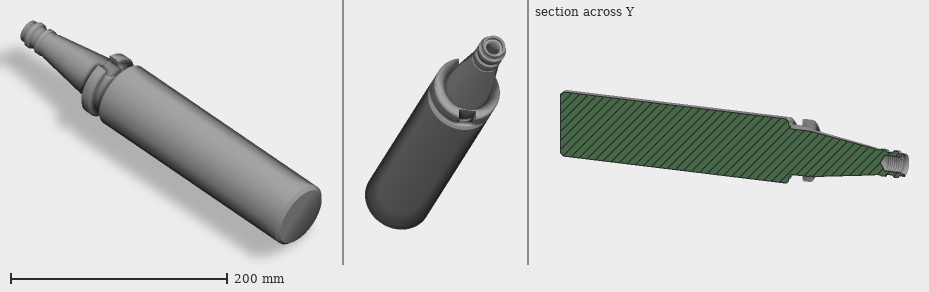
import cadquery as cq
import math

length = 343.5
body_diameter = 63.0
body_radius = body_diameter / 2

collar_start = 6.5
collar_end = 11.7
pilot_start = 18.5
pilot_groove_start = 24.5
pilot_groove_end = 30.0
taper_start = 30.2
taper_end = 94.0
flange_start = 94.8
flange_end = 105.5
body_start = 116.0

tip_radius = 11.0
collar_radius = 13.0
pilot_groove_radius = 12.5
relief_radius = 21.3
neck_radius = 25.0
taper_ratio = 7 / 24

tip_chamfer_length = 1.5
tip_chamfer_depth = 0.5
collar_chamfer = 0.7
collar_root = 0.7
pilot_chamfer = 1.0
flange_chamfer = 1.5
body_front_chamfer = 2.5
body_rear_chamfer = 3.0
neck_fillet = 1.0

ring_groove_start = 3.5
ring_groove_end = 4.5
ring_groove_depth = 0.5

mouth_radius = 10.0
counterbore_radius = 8.5
counterbore_depth = 4.0
thread_root_radius = 8.0
thread_crest_radius = 7.0
thread_pitch = 2.0
thread_turns = 8
drill_point_angle = 118.0

slot_width = 16.0
slot_floor = 22.3
slot_end = 114.0
cut_clearance = 3.5


def shank_profile():
    """Half section of the turned part, radius along Y, closed on the X axis."""
    taper_growth = (taper_end - taper_start) * taper_ratio / 2
    ring_groove_radius = tip_radius - ring_groove_depth
    fillet_sag = neck_fillet * (1 - math.sqrt(0.5))
    shank_points = [
        (0, 0),
        (0, tip_radius - tip_chamfer_depth),
        (tip_chamfer_length, tip_radius),
        (ring_groove_start, tip_radius),
        (ring_groove_start, ring_groove_radius),
        (ring_groove_end, ring_groove_radius),
        (ring_groove_end, tip_radius),
        (collar_start - collar_root, tip_radius),
        (collar_start, tip_radius + collar_root),
        (collar_start, collar_radius - collar_chamfer),
        (collar_start + collar_chamfer, collar_radius),
        (collar_end - collar_chamfer, collar_radius),
        (collar_end, collar_radius - collar_chamfer),
        (collar_end, tip_radius + collar_root),
        (collar_end + collar_root, tip_radius),
        (pilot_start, tip_radius),
        (pilot_start, collar_radius - pilot_chamfer),
        (pilot_start + pilot_chamfer, collar_radius),
        (pilot_groove_start, collar_radius),
        (pilot_groove_start, pilot_groove_radius),
        (pilot_groove_end, pilot_groove_radius),
        (taper_start, collar_radius),
        (taper_end, collar_radius + taper_growth),
        (taper_end, relief_radius),
        (flange_start, relief_radius),
        (flange_start, body_radius - flange_chamfer),
        (flange_start + flange_chamfer, body_radius),
        (flange_end - flange_chamfer, body_radius),
        (flange_end, body_radius - flange_chamfer),
        (flange_end, neck_radius + neck_fillet),
    ]
    body_points = [
        (body_start, body_radius - body_front_chamfer),
        (body_start + body_front_chamfer, body_radius),
        (length - body_rear_chamfer, body_radius),
        (length, body_radius - body_rear_chamfer),
        (length, 0),
    ]
    profile = cq.Workplane("XY").polyline(shank_points)
    profile = profile.threePointArc(
        (flange_end + fillet_sag, neck_radius + fillet_sag),
        (flange_end + neck_fillet, neck_radius),
    )
    profile = profile.lineTo(body_start - neck_fillet, neck_radius)
    profile = profile.threePointArc(
        (body_start - fillet_sag, neck_radius + fillet_sag),
        (body_start, neck_radius + neck_fillet),
    )
    for point in body_points:
        profile = profile.lineTo(*point)
    return profile.close()


def socket():
    """Blind hole: chamfered counterbore, thread as V rings and a drill-point bottom."""
    point_length = thread_crest_radius / math.tan(math.radians(drill_point_angle / 2))
    thread_end = counterbore_depth + thread_turns * thread_pitch
    points = [
        (0, 0),
        (0, mouth_radius),
        (mouth_radius - counterbore_radius, counterbore_radius),
        (counterbore_depth, counterbore_radius),
    ]
    for turn in range(thread_turns):
        crest = counterbore_depth + turn * thread_pitch
        points += [
            (crest, thread_crest_radius),
            (crest + thread_pitch / 2, thread_root_radius),
        ]
    points += [
        (thread_end, thread_crest_radius),
        (thread_end + point_length, 0),
    ]
    profile = cq.Workplane("XY").polyline(points).close()
    return profile.revolve(360, (0, 0, 0), (1, 0, 0))


def drive_slot(side):
    """Round-ended slot with a flat floor; side is +1 for top, -1 for bottom."""
    slot_radius = slot_width / 2
    arc_center = slot_end - slot_radius
    return (
        cq.Workplane("XY", origin=(0, 0, side * slot_floor))
        .moveTo(taper_end, -slot_radius)
        .lineTo(arc_center, -slot_radius)
        .threePointArc((slot_end, 0), (arc_center, slot_radius))
        .lineTo(taper_end, slot_radius)
        .close()
        .extrude(side * (body_radius - slot_floor + cut_clearance))
    )


result = shank_profile().revolve(360, (0, 0, 0), (1, 0, 0))
result = result.cut(socket())
for side in (1, -1):
    result = result.cut(drive_slot(side))